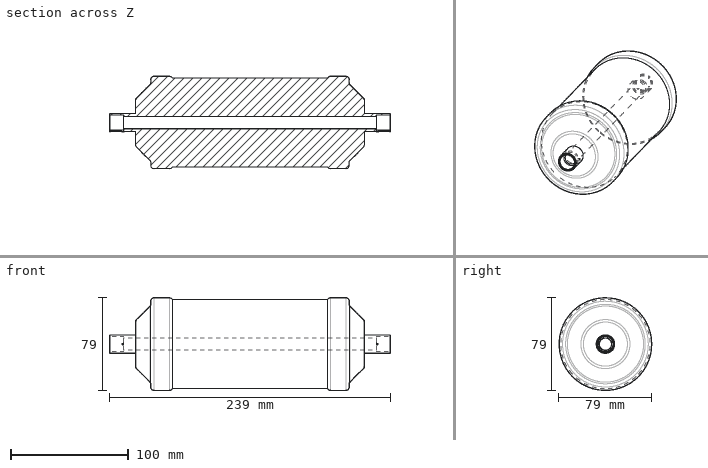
import cadquery as cq
import math

overall_length = 239.0
shell_diameter = 76.0
band_diameter = 79.0
tube_diameter = 15.8
socket_diameter = 12.8
bore_diameter = 10.3
tube_rim_chamfer = 0.5

tube_projection = 22.0
cone_height = 13.0
band_width = 18.5
socket_depth = 12.0

cap_face_radius = 20.0
cap_face_blend = 3.0
cone_foot_blend = 2.0
band_edge_blend = 3.0

stop_hole_diameter = 1.2
stop_hole_from_end = 11.2

half_length = overall_length / 2
cap_face_x = half_length - tube_projection
band_outer_x = cap_face_x - cone_height
band_inner_x = band_outer_x - band_width
shell_radius = shell_diameter / 2
band_radius = band_diameter / 2
cone_angle = math.radians(45)
cone_foot_radius = cap_face_radius + cone_height * math.tan(cone_angle)


def make_end_cap():
    """Revolve the +X end: band with rounded edges, blended cone and tube."""
    step = band_radius - shell_radius
    sweep = math.acos(1 - step / band_edge_blend)
    inner_arc_x = band_inner_x + band_edge_blend * math.sin(sweep)
    inner_arc_mid = (
        inner_arc_x - band_edge_blend * math.sin(sweep / 2),
        band_radius - band_edge_blend * (1 - math.cos(sweep / 2)),
    )

    outer_arc_x = band_outer_x - band_edge_blend
    outer_arc_y = band_radius - band_edge_blend
    outer_arc_mid = (
        outer_arc_x + band_edge_blend * math.sin(math.pi / 4),
        outer_arc_y + band_edge_blend * math.cos(math.pi / 4),
    )

    foot_tangent = cone_foot_blend * math.tan(cone_angle / 2)
    foot_center = (band_outer_x + cone_foot_blend, cone_foot_radius + foot_tangent)
    foot_arc_mid = (
        foot_center[0] - cone_foot_blend * math.cos(cone_angle / 2),
        foot_center[1] - cone_foot_blend * math.sin(cone_angle / 2),
    )
    foot_arc_end = (
        band_outer_x + foot_tangent * math.sin(cone_angle),
        cone_foot_radius - foot_tangent * math.cos(cone_angle),
    )

    face_tangent = cap_face_blend * math.tan(cone_angle / 2)
    face_center = (cap_face_x - cap_face_blend, cap_face_radius - face_tangent)
    face_arc_start = (
        cap_face_x - face_tangent * math.sin(cone_angle),
        cap_face_radius + face_tangent * math.cos(cone_angle),
    )
    face_arc_mid = (
        face_center[0] + cap_face_blend * math.cos(cone_angle / 2),
        face_center[1] + cap_face_blend * math.sin(cone_angle / 2),
    )

    profile = (
        cq.Workplane("XY")
        .moveTo(band_inner_x, 0)
        .lineTo(band_inner_x, shell_radius)
        .threePointArc(inner_arc_mid, (inner_arc_x, band_radius))
        .lineTo(outer_arc_x, band_radius)
        .threePointArc(outer_arc_mid, (band_outer_x, outer_arc_y))
        .lineTo(band_outer_x, foot_center[1])
        .threePointArc(foot_arc_mid, foot_arc_end)
        .lineTo(*face_arc_start)
        .threePointArc(face_arc_mid, (cap_face_x, face_center[1]))
        .lineTo(cap_face_x, tube_diameter / 2)
        .lineTo(half_length, tube_diameter / 2)
        .lineTo(half_length, 0)
        .close()
    )
    return profile.revolve(360, (0, 0, 0), (1, 0, 0))


def x_cylinder(diameter, start, length):
    """Return a cylinder on the X axis running from start toward +X."""
    return cq.Workplane("YZ", origin=(start, 0, 0)).circle(diameter / 2).extrude(length)


def make_stop_hole(center_x):
    """Return a radial cutter that pierces the -Y tube wall only."""
    start = cq.Workplane("XZ", origin=(center_x, 0, 0))
    return start.circle(stop_hole_diameter / 2).extrude(tube_diameter)


end_cap = make_end_cap()
result = x_cylinder(shell_diameter, -band_inner_x, 2 * band_inner_x)
result = result.union(end_cap).union(end_cap.mirror("YZ"))

result = result.cut(x_cylinder(bore_diameter, -half_length, overall_length))
for socket_start in (-half_length, half_length - socket_depth):
    result = result.cut(x_cylinder(socket_diameter, socket_start, socket_depth))

result = result.faces("<X or >X").edges().chamfer(tube_rim_chamfer)

for side in (-1, 1):
    result = result.cut(make_stop_hole(side * (half_length - stop_hole_from_end)))